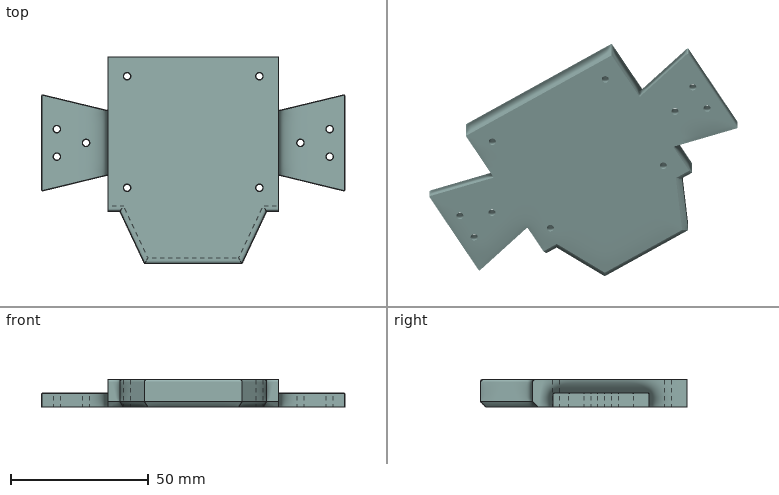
import cadquery as cq

total_width = 110.0
total_length = 75.0
body_thickness = 10.0
wing_thickness = 5.0

body_width = 62.0
body_length = 56.1
nose_base_width = 53.2
nose_tip_width = 35.4
nose_bottom_chamfer = 2.0
nose_top_fillet = 1.0

wing_outer_width = 35.0
wing_root_width = 23.4
wing_corner_fillet = 0.4
wing_edge_fillet = 0.3
wing_root_fillet = 0.25
wing_center_from_rear = 31.2

hole_diameter = 2.55
body_hole_spacing_x = 48.0
body_hole_spacing_y = 40.5
body_hole_from_rear = 7.0
wing_hole_pair_spacing = 10.0
wing_hole_pair_from_tip = 5.5
wing_hole_single_from_tip = 16.1

rear_y = total_length / 2
tip_y = -total_length / 2
shoulder_y = rear_y - body_length
wing_center_y = rear_y - wing_center_from_rear
body_half = body_width / 2
tip_x = total_width / 2
edge_tolerance = 0.01


def front_edges(solid, z):
    """Edges of the shoulders and nose lying at height z."""
    box = cq.selectors.BoxSelector(
        (-body_half - edge_tolerance, tip_y - edge_tolerance, z - edge_tolerance),
        (body_half + edge_tolerance, shoulder_y + edge_tolerance, z + edge_tolerance),
        boundingbox=True,
    )
    return solid.edges(box)


def make_body():
    """Rectangular plate with a tapered nose, its front rim chamfered below and rounded above."""
    plate = (
        cq.Workplane("XY")
        .polyline([
            (-body_half, rear_y),
            (body_half, rear_y),
            (body_half, shoulder_y),
            (nose_base_width / 2, shoulder_y),
            (nose_tip_width / 2, tip_y),
            (-nose_tip_width / 2, tip_y),
            (-nose_base_width / 2, shoulder_y),
            (-body_half, shoulder_y),
        ])
        .close()
        .extrude(body_thickness)
    )
    plate = front_edges(plate, 0).chamfer(nose_bottom_chamfer)
    return front_edges(plate, body_thickness).fillet(nose_top_fillet)


def make_wing(side):
    """Trapezoidal wing, right (+1) or left (-1), rounded at its outer corners and top rim."""
    root_selector = "<X" if side > 0 else ">X"
    outer_selector = ">X" if side > 0 else "<X"
    root_x = side * body_half
    outer_x = side * tip_x
    wing = (
        cq.Workplane("XY")
        .polyline([
            (root_x, wing_center_y - wing_root_width / 2),
            (outer_x, wing_center_y - wing_outer_width / 2),
            (outer_x, wing_center_y + wing_outer_width / 2),
            (root_x, wing_center_y + wing_root_width / 2),
        ])
        .close()
        .extrude(wing_thickness)
        .edges("|Z").edges(outer_selector).fillet(wing_corner_fillet)
    )
    return wing.faces(">Z").edges(f"not {root_selector}").fillet(wing_edge_fillet)


def wing_root_edges(solid, side):
    """Top and upright edges where a wing meets the body's side face."""
    root_x = side * body_half
    reach_y = wing_root_width / 2 + edge_tolerance
    box = cq.selectors.BoxSelector(
        (root_x - edge_tolerance, wing_center_y - reach_y, -edge_tolerance),
        (root_x + edge_tolerance, wing_center_y + reach_y, wing_thickness + edge_tolerance),
        boundingbox=True,
    )
    return solid.edges(box).edges("|Z or >Z")


def hole_centers():
    """Four holes in the body and a triangle of three in each wing."""
    centers = []
    for side in (-1, 1):
        body_hole_x = side * body_hole_spacing_x / 2
        rear_hole_y = rear_y - body_hole_from_rear
        centers.append((body_hole_x, rear_hole_y))
        centers.append((body_hole_x, rear_hole_y - body_hole_spacing_y))
        pair_x = side * (tip_x - wing_hole_pair_from_tip)
        centers.append((pair_x, wing_center_y + wing_hole_pair_spacing / 2))
        centers.append((pair_x, wing_center_y - wing_hole_pair_spacing / 2))
        centers.append((side * (tip_x - wing_hole_single_from_tip), wing_center_y))
    return centers


def make_holes():
    return (
        cq.Workplane("XY")
        .pushPoints(hole_centers())
        .circle(hole_diameter / 2)
        .extrude(body_thickness)
    )


result = make_body()
for wing_side in (-1, 1):
    result = result.union(make_wing(wing_side))
    result = wing_root_edges(result, wing_side).fillet(wing_root_fillet)
result = result.cut(make_holes())